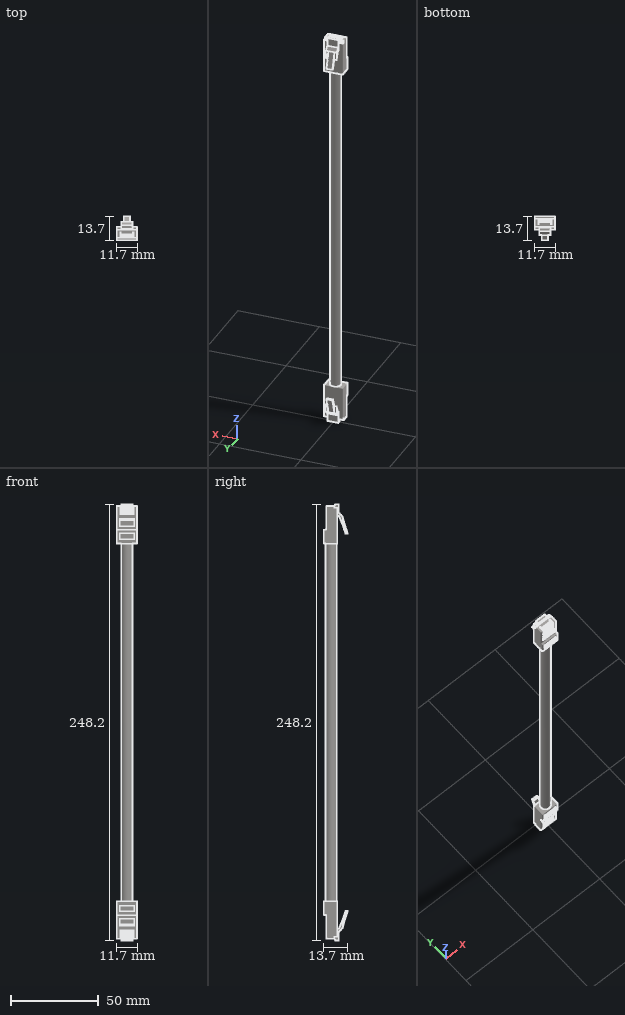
import cadquery as cq


total_length = 248.16
total_depth = 13.74

cable_diameter = 6.5
cable_length = 203.2

plug_width = 11.68
plug_length = 21.46
body_back_y = 3.6
body_front_y = -2.8
boot_front_y = -4.2
boot_length = 8.0
body_edge_radius = 0.4

nose_step_depth = 1.7
nose_step_height = 1.1

contact_count = 8
contact_pitch = 1.02
slot_width = 0.5
slot_length = 4.8
slot_depth = 2.1
end_slot_depth = 3.2

window_width = 8.2
window_depth = 1.0
boot_window_bottom = 2.6
boot_window_height = 3.2
body_window_bottom = 10.0
body_window_height = 3.2
body_window_slope = 1.0

latch_root_width = 6.6
latch_tip_width = 3.7
latch_back_y = 4.4
latch_root_bottom = 15.7
nose_overhang = (total_length - cable_length) / 2 - plug_length
nose_slope_run = 0.4
arm_thickness_y = 1.3
arm_top_z = 17.6
neck_y = 6.5
neck_z = 15.4
bend_y = 7.9
bend_z = 10.4
tip_y = boot_front_y + total_depth
tip_z = 5.5

nose_step_y = body_back_y - nose_step_depth
nose_step_z = plug_length - nose_step_height


def block(width, y_min, y_max, z_min, z_max, x_center=0):
    """Box centred on x_center, spanning the given Y and Z ranges."""
    return (
        cq.Workplane("XY")
        .box(width, y_max - y_min, z_max - z_min, centered=(True, False, False))
        .translate((x_center, y_min, z_min))
    )


def side_profile(points, width):
    """Prism of (y, z) points, extruded symmetrically about x = 0."""
    return cq.Workplane("YZ").polyline(points).close().extrude(width / 2, both=True)


def make_body():
    outline = [
        (boot_front_y, 0),
        (body_back_y, 0),
        (body_back_y, plug_length),
        (body_front_y, plug_length),
        (body_front_y, boot_length),
        (boot_front_y, boot_length),
    ]
    body = side_profile(outline, plug_width).edges().fillet(body_edge_radius)
    nose_step = block(plug_width, nose_step_y, body_back_y, nose_step_z, plug_length)
    return body.cut(nose_step)


def make_contact_slots():
    slots = cq.Workplane("XY")
    for index in range(contact_count):
        x = (index - (contact_count - 1) / 2) * contact_pitch
        is_end_slot = index in (0, contact_count - 1)
        depth = end_slot_depth if is_end_slot else slot_depth
        floor_y = body_front_y + depth
        slots = slots.union(
            block(slot_width, body_front_y, floor_y, plug_length - slot_length, plug_length, x)
        )
    return slots


def make_boot_window():
    top_z = boot_window_bottom + boot_window_height
    return block(window_width, boot_front_y, boot_front_y + window_depth, boot_window_bottom, top_z)


def make_body_window():
    floor_y = body_front_y + window_depth
    floor_top_z = body_window_bottom + body_window_height
    outline = [
        (body_front_y, body_window_bottom),
        (floor_y, body_window_bottom),
        (floor_y, floor_top_z),
        (body_front_y, floor_top_z + body_window_slope),
    ]
    return side_profile(outline, window_width)


def make_latch_root():
    top_z = plug_length + nose_overhang
    outline = [
        (nose_step_y, latch_root_bottom),
        (nose_step_y, plug_length),
        (nose_step_y + nose_slope_run, top_z),
        (latch_back_y, top_z),
        (latch_back_y, latch_root_bottom),
    ]
    return side_profile(outline, latch_root_width)


def make_latch_arm():
    outline = [
        (body_back_y, arm_top_z),
        (latch_back_y, arm_top_z),
        (neck_y, neck_z),
        (bend_y, bend_z),
        (tip_y, tip_z),
        (tip_y - arm_thickness_y, tip_z),
        (bend_y - arm_thickness_y, bend_z),
        (latch_back_y, latch_root_bottom),
        (body_back_y, latch_root_bottom),
    ]
    wide_part = block(latch_root_width, body_back_y, neck_y, tip_z, arm_top_z)
    narrow_part = block(latch_tip_width, neck_y, tip_y, tip_z, arm_top_z)
    return side_profile(outline, latch_root_width).intersect(wide_part.union(narrow_part))


def make_plug():
    return (
        make_body()
        .union(make_latch_root())
        .union(make_latch_arm())
        .cut(make_contact_slots())
        .cut(make_boot_window())
        .cut(make_body_window())
        .solids()
    )


def make_cable():
    """Round cable whose surface is two half cylinders meeting at +X and -X."""
    radius = cable_diameter / 2
    return (
        cq.Workplane("XY")
        .moveTo(-radius, 0)
        .threePointArc((0, radius), (radius, 0))
        .threePointArc((0, -radius), (-radius, 0))
        .close()
        .extrude(cable_length / 2, both=True)
        .solids()
    )


cable = make_cable()
upper_plug = make_plug().translate((0, 0, cable_length / 2))
plugs = [upper_plug, upper_plug.mirror("XY")]

result = cq.Compound.makeCompound([cable.val(), *[plug.val() for plug in plugs]])